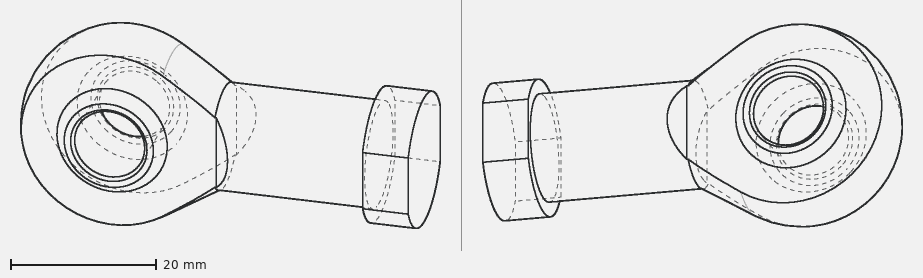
import cadquery as cq
import math

total_length = 57.0
head_radius = 13.95
head_thickness = 10.55
shank_end = total_length - head_radius

shank_radius = 15.0 / 2
neck_end = 14.65
face_end = 14.8
collar_diameter = 19.05
collar_length = 6.5
collar_across_flats = 17.0

ball_radius = 9.45
ball_width = 14.0
bore_diameter = 10.0
bore_chamfer = 0.45


def make_body():
    """Spherical head, tangent conical neck and cylindrical shank, revolved about X."""
    neck_distance = math.hypot(neck_end, shank_radius)
    tangent_angle = math.atan2(shank_radius, neck_end) + math.acos(head_radius / neck_distance)
    tangent_point = (head_radius * math.cos(tangent_angle), head_radius * math.sin(tangent_angle))
    return (
        cq.Workplane("XY")
        .moveTo(-head_radius, 0)
        .threePointArc((0, head_radius), tangent_point)
        .lineTo(neck_end, shank_radius)
        .lineTo(shank_end, shank_radius)
        .lineTo(shank_end, 0)
        .close()
        .revolve(360, (0, 0, 0), (1, 0, 0))
    )


def make_head_relief():
    """Material removed from the +Y side: flat face ending in a 45 degree shoulder."""
    face_y = head_thickness / 2
    outer_y = head_radius + 0.55
    cut_start = -head_radius - 0.55
    return (
        cq.Workplane("XY")
        .polyline([
            (cut_start, face_y),
            (face_end, face_y),
            (face_end + outer_y - face_y, outer_y),
            (cut_start, outer_y),
        ])
        .close()
        .extrude(head_radius + 0.55, both=True)
    )


def make_collar():
    """Round collar at the shank end with two flats facing -Y and +Y."""
    collar = (
        cq.Workplane("YZ", origin=(shank_end - collar_length, 0, 0))
        .circle(collar_diameter / 2)
        .extrude(collar_length)
    )
    flats = cq.Workplane("XY").box(2 * total_length, collar_across_flats, collar_diameter)
    return collar.intersect(flats)


def make_ball():
    """Sphere with flat ends on the -Y and +Y sides."""
    ends = cq.Workplane("XY").box(2 * ball_radius, ball_width, 2 * ball_radius)
    return cq.Workplane("XY").sphere(ball_radius).intersect(ends)


def make_bore():
    """Through bore along Y with a chamfered mouth at each end."""
    radius = bore_diameter / 2
    mouth_radius = radius + bore_chamfer
    half_width = ball_width / 2
    chamfer_y = half_width - bore_chamfer
    return (
        cq.Workplane("XY")
        .polyline([
            (0, -half_width),
            (mouth_radius, -half_width),
            (radius, -chamfer_y),
            (radius, chamfer_y),
            (mouth_radius, half_width),
            (0, half_width),
        ])
        .close()
        .revolve(360, (0, 0, 0), (0, 1, 0))
    )


relief = make_head_relief()
body = make_body().cut(relief).cut(relief.mirror("XZ"))
result = body.union(make_collar()).union(make_ball()).cut(make_bore())